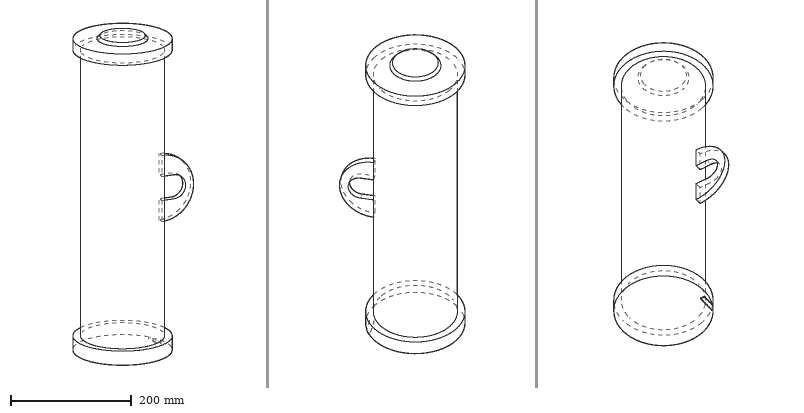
import cadquery as cq

total_height = 550.0
flange_radius = 82.5
tube_radius = 70.0

label_height = 1.5
bottom_flange_height = 25.0
top_flange_height = 20.0
boss_height = 5.5

boss_base_radius = 42.5
boss_top_radius = 38.0

lug_radius = 58.0
lug_thickness = 11.5
lug_slot_width = 42.0
lug_wall = 15.0
lug_center_z = 275.0

label_length = 33.0
label_width = 7.5
label_center_x = -26.5
label_center_y = 71.5

flange_bottom_z = label_height
tube_bottom_z = flange_bottom_z + bottom_flange_height
boss_base_z = total_height - boss_height
tube_top_z = boss_base_z - top_flange_height


def make_body():
    """Revolve the tube, both flanges and the tapered boss about Z."""
    return (
        cq.Workplane("XZ")
        .moveTo(0, flange_bottom_z)
        .lineTo(flange_radius, flange_bottom_z)
        .lineTo(flange_radius, tube_bottom_z)
        .lineTo(tube_radius, tube_bottom_z)
        .lineTo(tube_radius, tube_top_z)
        .lineTo(flange_radius, tube_top_z)
        .lineTo(flange_radius, boss_base_z)
        .lineTo(boss_base_radius, boss_base_z)
        .lineTo(boss_top_radius, total_height)
        .lineTo(0, total_height)
        .close()
        .revolve(360, (0, 0), (0, 1))
    )


def make_lug():
    """Round plate centred on the tube surface, with a round-ended slot."""
    slot_end_y = tube_radius + lug_radius - lug_wall
    slot_length = 2 * (slot_end_y - tube_radius) + lug_slot_width
    slot_center_y = slot_end_y - slot_length / 2
    plate = cq.Workplane("YZ").center(tube_radius, lug_center_z).circle(lug_radius)
    slot_plane = cq.Workplane("YZ").center(slot_center_y, lug_center_z)
    slot = slot_plane.slot2D(slot_length, lug_slot_width)
    return plate.extrude(lug_thickness / 2, both=True).cut(slot.extrude(lug_thickness, both=True))


def make_label_pad():
    """Thin pad, trimmed to the flange rim and sunk in by its own height."""
    pad_depth = 2 * label_height
    pad = (
        cq.Workplane("XY")
        .center(label_center_x, label_center_y)
        .rect(label_length, label_width)
        .extrude(pad_depth)
    )
    return pad.intersect(cq.Workplane("XY").circle(flange_radius).extrude(pad_depth))


result = make_body().union(make_lug()).union(make_label_pad())